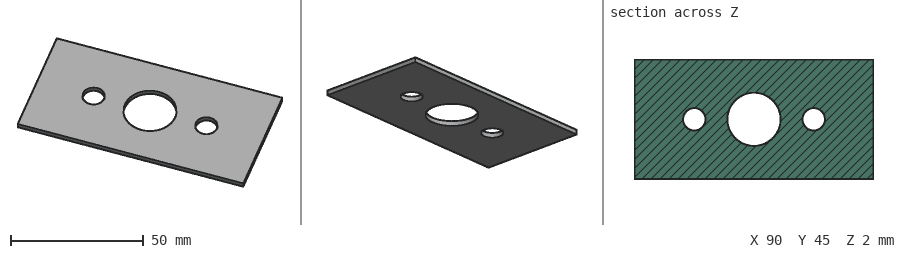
import cadquery as cq

length = 90.0
width = length / 2
thickness = 2.0

centre_hole_diameter = 20.0
side_hole_diameter = 8.4
side_hole_spacing = length / 2

plate = cq.Workplane("XY").box(length, width, thickness)

plate = plate.faces(">Z").workplane().hole(centre_hole_diameter)

side_hole_centres = [(side * side_hole_spacing / 2, 0) for side in (-1, 1)]
result = plate.faces(">Z").workplane(origin=(0, 0, 0)).pushPoints(side_hole_centres).hole(side_hole_diameter)